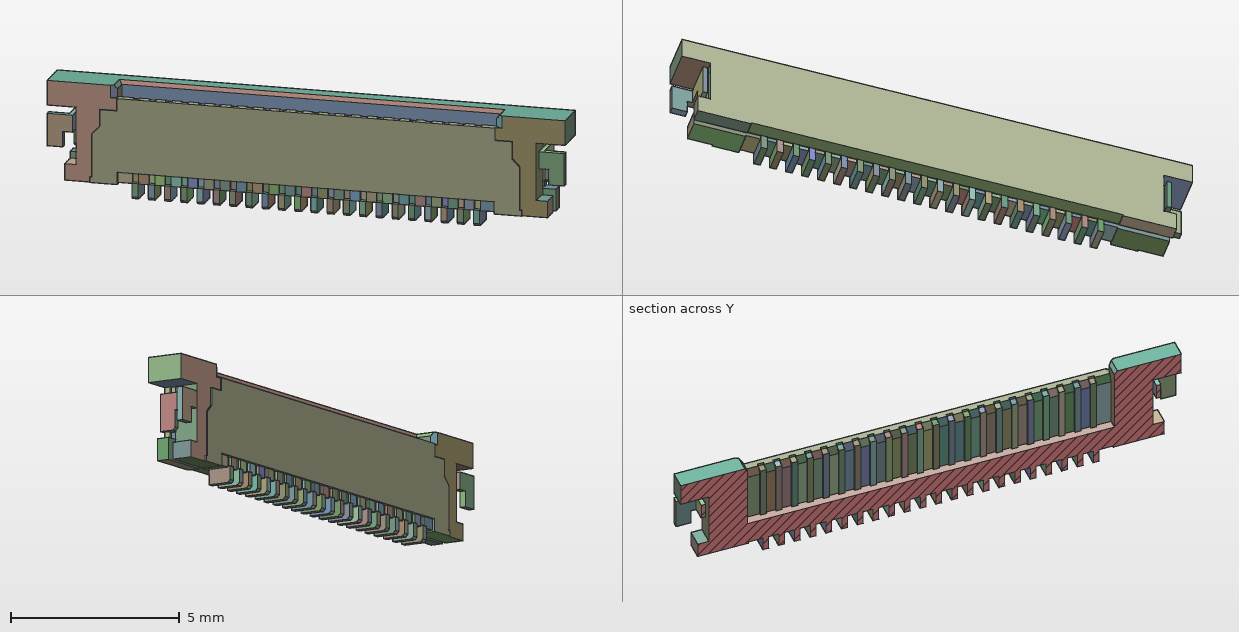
import cadquery as cq


overall_length = 15.9
overall_depth = 1.2
overall_drop = 3.45

head_half = overall_length / 2
head_drop = 0.76
body_half = 7.06
body_drop = 3.04
housing_depth = 1.15

rear_foot_half = 7.45
rear_foot_top = 2.37
rear_foot_depth = 0.38
front_foot_half = 7.41
front_foot_top = 2.53
front_foot_back = 0.52
underside_drop = 2.85

plate_top = 0.38
plate_neck_half = 5.8
plate_shoulder_half = 6.33
plate_wide_half = 6.57
plate_taper = plate_wide_half - plate_shoulder_half
plate_taper_end = 1.53
plate_toe = 0.06
plate_toe_top = 2.86

slot_half = 5.82
slot_back = 0.54
slot_front = 0.86
slot_drop = 2.23
lead_back = 0.06
lead_side = 0.1
lead_drop = 0.13
lip_width = 0.1
lip_drop = 0.25
mouth_half = 6.01
mouth_flare_depth = 1.03

contact_count = 22
contact_pitch = 0.5
contact_width = 0.19
contact_back = 0.8
contact_front = 1.03
contact_top = 0.46
tail_back = 0.45
tail_top = 2.95
tail_chamfer = 0.08

recess_half = 5.79
recess_top = 2.65
recess_floor = 1.11
recess_bottom = 2.99

bracket_half = 7.93
bracket_top = 1.0
bracket_bottom = 2.0
bracket_plate_back = 1.0
bracket_bend = 1.53
bracket_leg_inner = 7.45
side_sheet_outer = 7.3
side_sheet_inner = 7.15
side_sheet_bottom = 2.13
side_sheet_lower_depth = 0.52
side_sheet_chamfer = 0.08
tongue_back = 0.19
tongue_front = 0.38
tongue_root = 7.0
tongue_slot_bottom = rear_foot_top


def block(x_range, depth_range, drop_range):
    """Box between two X values, two depths and two drops."""
    (x0, x1), (d0, d1), (p0, p1) = x_range, depth_range, drop_range
    return cq.Workplane("XY").box(x1 - x0, d1 - d0, p1 - p0, centered=False).translate((x0, -d1, -p1))


def centred(half, depth_range, drop_range):
    """Box that is symmetric about X = 0."""
    return block((-half, half), depth_range, drop_range)


def prism_along_x(half, profile):
    """Extrude a profile of (depth, drop) points symmetrically along X."""
    points = [(-depth, -drop) for depth, drop in profile]
    return cq.Workplane("YZ").polyline(points).close().extrude(half, both=True)


def both_ends(shape):
    """Add the mirror image of a shape about X = 0."""
    return shape.union(shape.mirror("YZ"))


def make_housing():
    housing = centred(head_half, (0, housing_depth), (0, head_drop))
    housing = housing.union(centred(body_half, (0, housing_depth), (head_drop, body_drop)))
    rear_feet = centred(rear_foot_half, (0, rear_foot_depth), (rear_foot_top, body_drop))
    front_feet = centred(front_foot_half, (front_foot_back, housing_depth), (front_foot_top, body_drop))
    underside_groove = centred(body_half, (rear_foot_depth, front_foot_back), (underside_drop, body_drop))
    return housing.union(rear_feet).union(front_feet).cut(underside_groove)


def make_front_plate():
    half_outline = [
        (plate_neck_half, plate_top),
        (plate_neck_half, head_drop),
        (plate_shoulder_half, head_drop),
        (plate_shoulder_half, plate_taper_end - plate_taper),
        (plate_wide_half, plate_taper_end),
        (plate_wide_half, plate_toe_top),
        (plate_wide_half + plate_toe, plate_toe_top),
        (plate_wide_half + plate_toe, body_drop),
    ]
    right = [(x, -drop) for x, drop in half_outline]
    left = [(-x, z) for x, z in reversed(right)]
    plate = cq.Workplane("XZ").polyline(right + left).close().extrude(overall_depth - slot_front)
    return plate.translate((0, -slot_front, 0))


def make_slot():
    slot = centred(slot_half, (slot_back, slot_front), (0, slot_drop))
    flare = [
        (-slot_half, -slot_back),
        (slot_half, -slot_back),
        (slot_half, -mouth_flare_depth),
        (mouth_half, -housing_depth),
        (-mouth_half, -housing_depth),
        (-slot_half, -mouth_flare_depth),
    ]
    mouth = cq.Workplane("XY").polyline(flare).close().extrude(-plate_top)
    rim_half = slot_half + lead_side
    rim_back = slot_back - lead_back
    rim = cq.Workplane("XY").polyline([
        (-rim_half, -rim_back), (rim_half, -rim_back),
        (rim_half, -housing_depth), (-rim_half, -housing_depth),
    ]).close()
    lead_in = rim.workplane(offset=-lead_drop).polyline([
        (-slot_half, -slot_back), (slot_half, -slot_back),
        (slot_half, -housing_depth), (-slot_half, -housing_depth),
    ]).close().loft(ruled=True)
    lip = prism_along_x(slot_half, [
        (slot_front, plate_top),
        (slot_front + lip_width, plate_top),
        (slot_front, plate_top + lip_drop),
    ])
    return slot.union(mouth).union(lead_in).union(lip)


def make_recess():
    pocket = centred(recess_half, (recess_floor, overall_depth), (recess_top, body_drop))
    lower_edge = centred(recess_half, (0, overall_depth), (recess_bottom, body_drop))
    return pocket.union(lower_edge)


def contact_positions():
    first = -contact_pitch * (contact_count - 1) / 2
    return [first + index * contact_pitch for index in range(contact_count)]


def make_contact_grooves(x):
    """Grooves that uncover the top of a contact in the slot and its front in the recess."""
    x_range = (x - contact_width / 2, x + contact_width / 2)
    top_groove = block(x_range, (slot_front, contact_front), (plate_top, contact_top))
    front_groove = block(x_range, (contact_front, recess_floor), (recess_top, tail_top))
    return top_groove.union(front_groove)


def make_contact(x):
    half = contact_width / 2
    x_range = (x - half, x + half)
    blade = block(x_range, (contact_back, contact_front), (contact_top, tail_top))
    tail = prism_along_x(half, [
        (tail_back, underside_drop),
        (contact_front, underside_drop),
        (contact_front, tail_top),
        (overall_depth, tail_top),
        (overall_depth, overall_drop - tail_chamfer),
        (overall_depth - tail_chamfer, overall_drop),
        (tail_back, overall_drop),
    ]).translate((x, 0, 0))
    return blade.union(tail)


def make_bracket():
    """Right-hand bracket: front plate, side sheet bent backwards and tongue into the body."""
    front = block((side_sheet_inner, bracket_half), (bracket_plate_back, overall_depth),
                  (bracket_top, bracket_bend))
    leg = block((bracket_leg_inner, bracket_half), (bracket_plate_back, overall_depth),
                (bracket_bend, bracket_bottom))
    sheet_x = (side_sheet_inner, side_sheet_outer)
    upper_sheet = block(sheet_x, (0, bracket_plate_back), (bracket_top, bracket_bend))
    lower_sheet = block(sheet_x, (0, side_sheet_lower_depth), (bracket_bend, side_sheet_bottom))
    lower_sheet = lower_sheet.edges("|X and <Y and <Z").chamfer(side_sheet_chamfer)
    tongue = block((tongue_root, side_sheet_inner), (tongue_back, tongue_front),
                   (bracket_top, side_sheet_bottom))
    return front.union(leg).union(upper_sheet).union(lower_sheet).union(tongue)


def make_tongue_slot():
    return block((tongue_root, body_half), (tongue_back, tongue_front), (head_drop, tongue_slot_bottom))


result = make_housing().union(make_front_plate())
result = result.cut(make_slot()).cut(make_recess()).cut(both_ends(make_tongue_slot()))
for contact_x in contact_positions():
    result = result.cut(make_contact_grooves(contact_x)).union(make_contact(contact_x))
result = result.union(both_ends(make_bracket()))